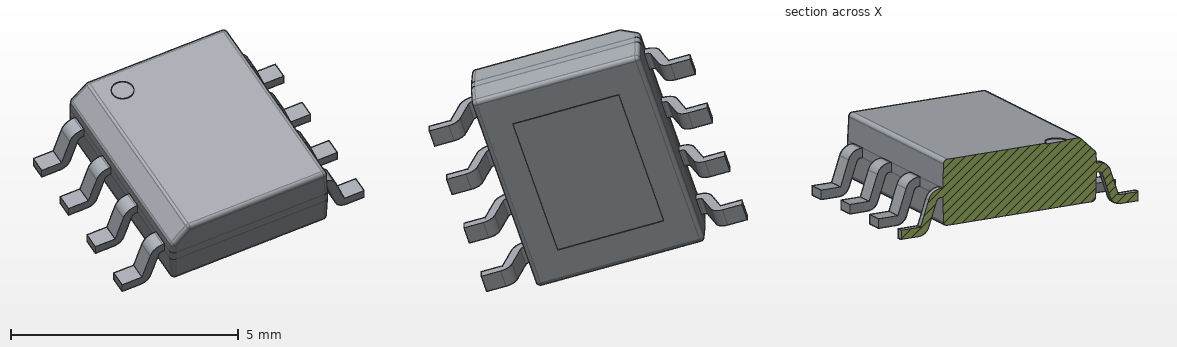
import cadquery as cq
import math

body_length = 4.9
body_width = 3.9
lead_span = 6.0
total_height = 1.676

mark_x = -1.83
mark_y = -0.93
mark_radius = 0.25
mark_depth = 0.02

lead_thickness = 0.22
band_bottom = 0.81
band_top = band_bottom + lead_thickness
body_bottom = 0.15
draft_angle = 2.0
edge_radius = 0.1

bevel_top_y = -1.52
bevel_low_y = -body_width / 2
bevel_low_z = 1.27

pad_length = 3.3
pad_width = 2.44
pad_projection = 0.02
pad_embedding = 0.1

leads_per_side = 4
lead_pitch = 1.27
lead_width = 0.4
lead_embedding = 0.3
lead_root_y = body_width / 2 - lead_embedding
foot_inner_y = 2.51
shank_angle = 19.2
shoulder_outer_radius = 0.33
shoulder_inner_radius = 0.11
heel_outer_radius = 0.28


def body_half(height, taper_direction):
    """Drafted block starting at z = 0 and growing along taper_direction."""
    return (
        cq.Workplane("XY")
        .rect(body_length, body_width)
        .extrude(taper_direction * height, taper=draft_angle)
    )


def make_upper_half():
    half = body_half(total_height - band_top, 1).translate((0, 0, band_top))
    slope = (total_height - bevel_low_z) / (bevel_top_y - bevel_low_y)
    overrun = 0.2
    cut_top = total_height + slope * overrun
    bevel_cut = (
        cq.Workplane("YZ")
        .moveTo(bevel_low_y - overrun, bevel_low_z - slope * overrun)
        .lineTo(bevel_top_y + overrun, cut_top)
        .lineTo(bevel_low_y - overrun, cut_top)
        .close()
        .extrude(body_length, both=True)
    )
    return half.cut(bevel_cut).edges("not(<Z)").fillet(edge_radius)


def make_lower_half():
    half = body_half(band_bottom - body_bottom, -1).translate((0, 0, band_bottom))
    return half.edges("not(>Z)").fillet(edge_radius)


def make_band():
    return (
        cq.Workplane("XY", origin=(0, 0, band_bottom))
        .rect(body_length, body_width)
        .extrude(lead_thickness)
        .edges("|Z")
        .fillet(edge_radius)
    )


def make_pad():
    return (
        cq.Workplane("XY", origin=(0, 0, body_bottom - pad_projection))
        .rect(pad_length, pad_width)
        .extrude(pad_projection + pad_embedding)
    )


def make_mark():
    return (
        cq.Workplane("XY", origin=(mark_x, mark_y, total_height))
        .circle(mark_radius)
        .extrude(-mark_depth)
    )


def make_lead():
    """One lead on the +Y side, centred on x = 0."""
    lean = math.tan(math.radians(shank_angle))
    shank_run = lead_thickness / math.cos(math.radians(shank_angle))

    def shank_outer_y(z):
        return foot_inner_y - (z - lead_thickness) * lean

    shoulder_outer = (shank_outer_y(band_top), band_top)
    shoulder_inner = (shank_outer_y(band_bottom) - shank_run, band_bottom)
    heel_outer = (shank_outer_y(0) - shank_run, 0)
    heel_inner = (foot_inner_y, lead_thickness)
    foot_end_y = lead_span / 2

    lead = (
        cq.Workplane("YZ")
        .polyline([
            (lead_root_y, band_top),
            shoulder_outer,
            heel_inner,
            (foot_end_y, lead_thickness),
            (foot_end_y, 0),
            heel_outer,
            shoulder_inner,
            (lead_root_y, band_bottom),
        ])
        .close()
        .extrude(lead_width / 2, both=True)
    )
    bends = [
        (shoulder_outer, shoulder_outer_radius),
        (shoulder_inner, shoulder_inner_radius),
        (heel_outer, heel_outer_radius),
    ]
    for (y, z), radius in bends:
        lead = lead.edges(cq.NearestToPointSelector((0, y, z))).fillet(radius)
    return lead


def make_leads():
    lead = make_lead()
    first_x = -lead_pitch * (leads_per_side - 1) / 2
    leads = []
    for turn in (0, 180):
        side = lead.rotate((0, 0, 0), (0, 0, 1), turn)
        for index in range(leads_per_side):
            leads.append(side.translate((first_x + index * lead_pitch, 0, 0)))
    return leads


result = make_band().union(make_upper_half()).union(make_lower_half())
result = result.union(make_pad()).cut(make_mark())
for lead in make_leads():
    result = result.union(lead)